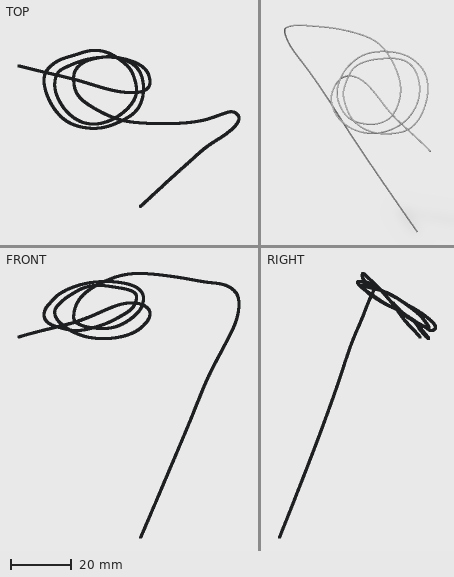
import cadquery as cq

WIRE_DIAMETER = 0.5

TAIL = [
    (0.1, 46.4, 65.95),
    (10.4, 43.85, 68.7),
    (20.9, 41.2, 71.6),
    (28.7, 38.9, 74.9),
    (36.5, 37.6, 77.2),
    (40.7, 38.0, 76.6),
]

FIRST_TURN = [
    (42.8, 39.5, 75.0),
    (43.15, 41.8, 73.1),
    (42.3, 44.4, 71.2),
    (39.15, 47.1, 68.2),
    (33.9, 48.8, 66.1),
    (26.1, 49.1, 65.5),
    (20.9, 48.0, 66.5),
    (15.7, 45.9, 69.1),
    (13.1, 44.3, 71.25),
    (12.1, 41.8, 73.1),
    (12.0, 39.15, 74.7),
    (13.2, 35.3, 76.65),
    (15.7, 31.7, 78.8),
    (18.3, 29.3, 80.5),
    (20.9, 27.9, 81.9),
    (25.7, 27.3, 82.9),
    (31.3, 29.1, 82.4),
    (36.5, 33.15, 81.35),
]

SECOND_TURN = [
    (38.6, 36.9, 79.9),
    (38.7, 39.5, 78.3),
    (38.1, 42.2, 76.6),
    (36.7, 45.2, 74.8),
    (33.9, 47.9, 73.0),
    (28.7, 50.9, 70.4),
    (23.5, 51.3, 68.7),
    (18.3, 49.85, 68.1),
    (13.05, 48.0, 69.25),
    (10.4, 46.1, 70.2),
    (8.8, 43.8, 71.9),
    (8.4, 41.4, 73.3),
    (8.8, 38.9, 74.9),
    (10.4, 34.5, 77.2),
    (13.05, 30.7, 79.8),
    (15.7, 28.4, 81.35),
    (20.9, 26.3, 83.3),
    (27.0, 26.0, 84.1),
    (33.9, 28.4, 83.8),
    (38.4, 31.3, 82.5),
]

THIRD_TURN = [
    (40.8, 36.2, 80.0),
    (41.1, 39.5, 78.3),
    (40.7, 42.0, 76.6),
    (39.85, 44.4, 74.8),
    (38.3, 46.4, 73.1),
    (36.0, 47.85, 71.3),
    (31.3, 49.3, 69.2),
    (26.1, 49.0, 68.8),
    (20.9, 47.15, 69.8),
    (18.45, 44.2, 71.3),
    (18.2, 41.4, 73.1),
    (18.45, 39.4, 74.8),
    (20.0, 36.2, 78.3),
    (23.5, 33.3, 81.6),
    (28.7, 30.45, 84.4),
]

ARM = [
    (33.9, 28.5, 86.2),
    (40.0, 27.7, 86.8),
    (47.0, 27.4, 86.3),
    (54.8, 27.7, 85.2),
    (62.6, 29.1, 83.9),
    (67.9, 30.9, 83.0),
    (70.0, 31.3, 81.9),
    (71.7, 30.6, 80.0),
    (72.4, 29.2, 76.9),
    (71.95, 27.75, 73.1),
]

LEG = [
    (69.2, 24.8, 66.1),
    (62.8, 20.5, 53.9),
    (57.0, 15.7, 40.0),
    (51.15, 10.4, 26.1),
    (40.1, 0.3, 0.2),
]

STRETCHES = [TAIL, FIRST_TURN, SECOND_TURN, THIRD_TURN, ARM, LEG]


def smooth_axis(stretches):
    """One smooth curve through the points of all the stretches, in order."""
    points = [cq.Vector(*point) for stretch in stretches for point in stretch]
    return cq.Edge.makeSpline(points)


def divided(curve, part_count):
    """The curve as a wire of equal parts, because one long edge does not sweep reliably."""
    cuts = [curve.paramAt(index / part_count) for index in range(part_count + 1)]
    parts = [curve.trim(start, end) for start, end in zip(cuts, cuts[1:])]
    return cq.Wire.assembleEdges(parts)


axis = smooth_axis(STRETCHES)
end_plane = cq.Plane(origin=axis.startPoint(), normal=axis.tangentAt(0))
path = cq.Workplane(divided(axis, len(STRETCHES)))
result = cq.Workplane(end_plane).circle(WIRE_DIAMETER / 2).sweep(path)